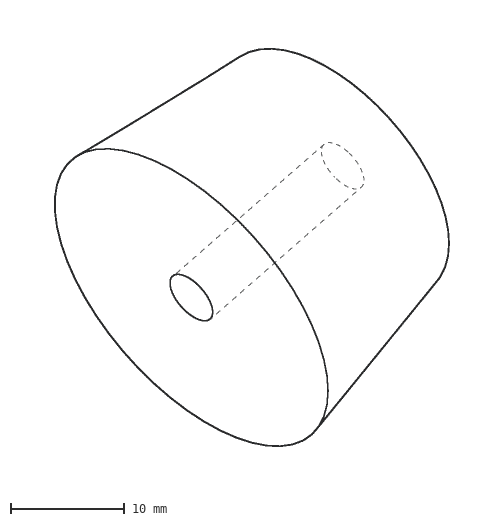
import cadquery as cq

base_diameter = 32.0
tip_diameter = 26.0
length = 20.0
hole_diameter = 5.0
edge_radius = 1.2

half_profile = (
    cq.Workplane("XY")
    .moveTo(0, 0)
    .lineTo(base_diameter / 2, 0)
    .lineTo(tip_diameter / 2, length)
    .lineTo(0, length)
    .close()
)
body = half_profile.revolve(360, (0, 0, 0), (0, 1, 0))

body = body.faces(">Y").edges().fillet(edge_radius)

hole = cq.Workplane("XZ").circle(hole_diameter / 2).extrude(-length)

result = body.cut(hole)